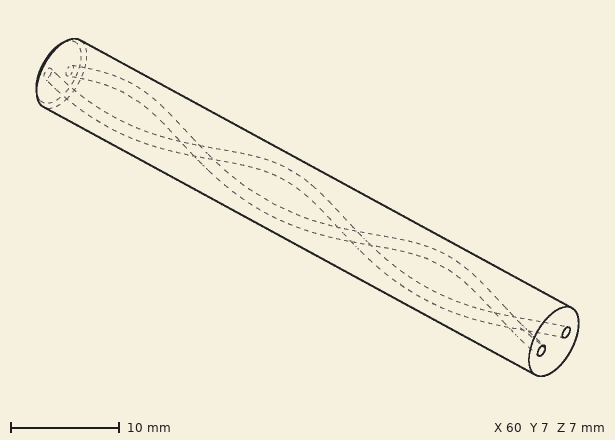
import cadquery as cq

length = 60.0
diameter = 7.0
chamfer = 0.35

channel_diameter = 1.1
channel_spacing = 3.5
pitch = 38.1
twist = 360.0 * length / pitch


def make_rod():
    """Rod centred on the origin, with its -X end chamfered."""
    rod = cq.Workplane("YZ").circle(diameter / 2).extrude(length / 2, both=True)
    return rod.faces("<X").edges().chamfer(chamfer)


def make_channels():
    """Two opposite channels, twisted about the rod axis over the full length."""
    return (
        cq.Workplane("YZ", origin=(-length / 2, 0, 0))
        .transformed(rotate=(0, 0, -twist))
        .pushPoints([(channel_spacing / 2, 0), (-channel_spacing / 2, 0)])
        .circle(channel_diameter / 2)
        .twistExtrude(length, twist)
    )


result = make_rod().cut(make_channels())